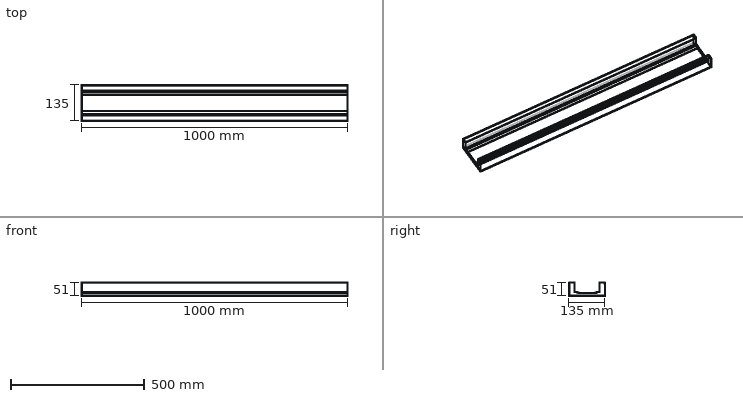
import cadquery as cq

length = 1000.0
width = 135.0
height = 51.0

wall_thickness = 21.0
ledge_width = 6.0
ledge_height = 15.0
ramp_width = 11.0
floor_thickness = 11.0
top_edge_radius = 5.0
bottom_edge_radius = 1.5

outer_y = width / 2
wall_y = outer_y - wall_thickness
ledge_y = wall_y - ledge_width
floor_y = ledge_y - ramp_width


def channel():
    """Draw the +Y half of the profile, mirror it about the middle plane and extrude it along X."""
    half_profile = (
        cq.Workplane("YZ", origin=(-length / 2, 0, -height / 2))
        .lineTo(outer_y - bottom_edge_radius, 0)
        .radiusArc((outer_y, bottom_edge_radius), -bottom_edge_radius)
        .lineTo(outer_y, height - top_edge_radius)
        .radiusArc((outer_y - top_edge_radius, height), -top_edge_radius)
        .lineTo(wall_y, height)
        .lineTo(wall_y, ledge_height)
        .lineTo(ledge_y, ledge_height)
        .lineTo(floor_y, floor_thickness)
        .lineTo(0, floor_thickness)
    )
    return half_profile.mirrorY().extrude(length).clean()


result = channel()